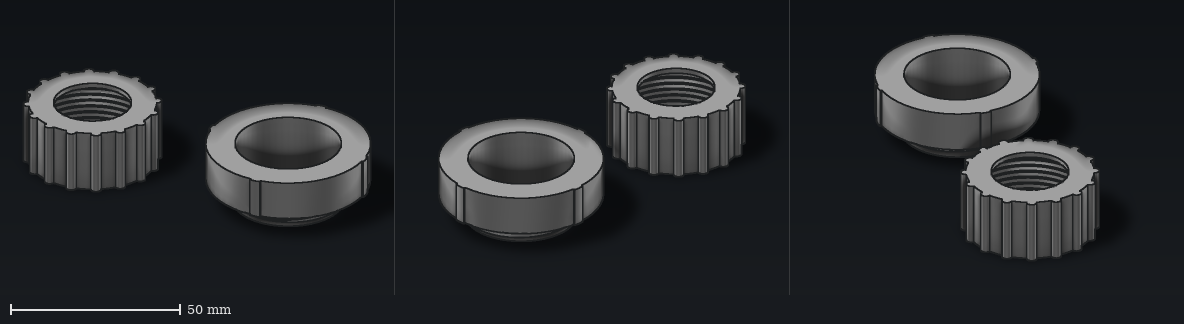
import cadquery as cq
import math

total_length = 108.5
total_height = 19.0

thread_turns = 9.5
thread_pitch = total_height / thread_turns
ridge_half_width = 0.42 * thread_pitch
ridge_embed = 0.1

collar_dia = 48.8
collar_bore_dia = 31.5
collar_height = 12.0
neck_dia = 33.1
neck_thread_dia = 35.5
neck_height = total_height - collar_height
neck_thread_start = 1.7
key_count = 4
key_width = 3.3
key_span = 50.0
key_crown = 0.16

nut_dia = 38.0
nut_mouth_dia = 23.0
nut_bore_dia = 36.2
nut_thread_dia = 34.0
nut_lip = 1.6
rib_count = 16
rib_radius = 1.5
rib_phase = 4.0

nut_reach = nut_dia / 2 * math.cos(math.radians(rib_phase)) + rib_radius
body_spacing = total_length - nut_reach - key_span / 2


def cylinder(diameter, height, base_z=0.0):
    return cq.Workplane("XY").workplane(offset=base_z).circle(diameter / 2).extrude(height)


def make_thread(root_dia, crest_dia, start_z, end_z):
    """Right-handed helical ridge of triangular section, pointing from root_dia to crest_dia.

    It is trimmed flat at start_z and end_z, and its crest passes +X at start_z.
    """
    length = end_z - start_z + 2 * thread_pitch
    section = [
        (root_dia / 2, -ridge_half_width),
        (crest_dia / 2, 0),
        (root_dia / 2, ridge_half_width),
    ]
    helices = [
        cq.Wire.makeHelix(thread_pitch, length, radius).translate(cq.Vector(0, 0, z))
        for radius, z in section
    ]
    flanks = [
        cq.Face.makeRuledSurface(helices[i - 1], helices[i]) for i in range(len(helices))
    ]
    ends = []
    for helix_end in (0, 1):
        corners = [helix.positionAt(helix_end) for helix in helices]
        ends.append(cq.Face.makeFromWires(cq.Wire.makePolygon(corners, close=True)))
    sides = [face for flank in flanks for face in flank.Faces()]
    ridge = cq.Solid.makeSolid(cq.Shell.makeShell(sides + ends))
    overrun_ridge = cq.Workplane(ridge).translate((0, 0, start_z - thread_pitch))
    trim_dia = max(root_dia, crest_dia) + 2 * thread_pitch
    return overrun_ridge.intersect(cylinder(trim_dia, end_z - start_z, start_z))


def make_collar_keys():
    """Shallow square-shouldered keys, slightly crowned, standing on the collar rim."""
    half_width = key_width / 2
    root_x = (collar_bore_dia + collar_dia) / 4
    face_x = key_span / 2
    shoulder_x = face_x - key_crown
    key = (
        cq.Workplane("XY")
        .workplane(offset=neck_height)
        .moveTo(root_x, -half_width)
        .lineTo(shoulder_x, -half_width)
        .threePointArc((face_x, 0), (shoulder_x, half_width))
        .lineTo(root_x, half_width)
        .close()
        .extrude(collar_height)
    )
    return [key.rotate((0, 0, 0), (0, 0, 1), i * 360 / key_count) for i in range(key_count)]


def make_collar():
    rim = cylinder(collar_dia, collar_height, neck_height)
    for key in make_collar_keys():
        rim = rim.union(key)

    thread = make_thread(neck_dia - 2 * ridge_embed, neck_thread_dia, neck_thread_start, neck_height)
    body = rim.union(cylinder(neck_dia, neck_height)).union(thread)
    return body.cut(cylinder(collar_bore_dia, total_height))


def make_nut():
    bore_depth = total_height - nut_lip
    thread = make_thread(nut_bore_dia + 2 * ridge_embed, nut_thread_dia, 0, bore_depth)
    threaded_bore = cylinder(nut_bore_dia, bore_depth).cut(thread)

    ribs = (
        cq.Workplane("XY")
        .polarArray(nut_dia / 2, rib_phase, 360, rib_count)
        .circle(rib_radius)
        .extrude(total_height)
    )
    body = cylinder(nut_dia, total_height).union(ribs)
    return body.cut(cylinder(nut_mouth_dia, total_height)).cut(threaded_bore)


nut = make_nut()
collar = make_collar().translate((body_spacing, 0, 0))

result = cq.Compound.makeCompound([nut.val(), collar.val()])